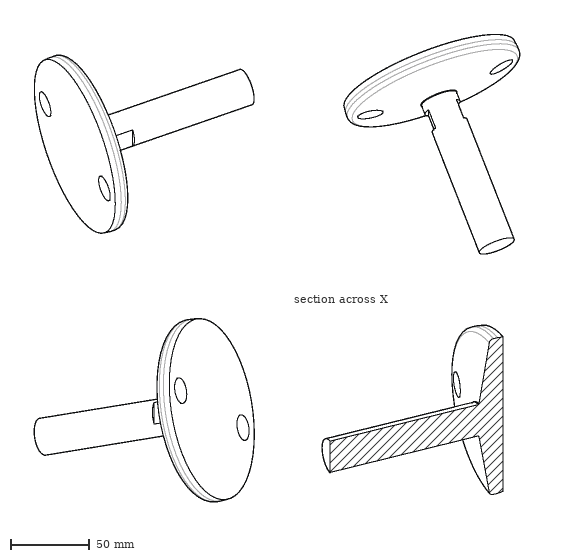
import cadquery as cq
import math

total_length = 122.0
plate_diameter = 118.0
stem_diameter = 24.0

underside_y = 0.0
pad_height = 4.0
pad_edge_inset = 0.5
rim_height = 7.0
shoulder_radius = 2.9
cone_angle = 9.4
collar_overhang = 0.4
collar_height = 0.4

flat_start = 23.8
flat_length = 12.8
across_flats = 19.2

hole_diameter = 16.5
hole_offset = 42.8
hole_tilt = cone_angle

plate_radius = plate_diameter / 2
stem_radius = stem_diameter / 2


def shoulder_point(angle):
    """Point on the rim's rounded shoulder, at an angle in degrees above radial."""
    radians = math.radians(angle)
    return (
        plate_radius - shoulder_radius + shoulder_radius * math.cos(radians),
        rim_height + shoulder_radius * math.sin(radians),
    )


shoulder_sweep = 90 - cone_angle
cone_base = shoulder_point(shoulder_sweep)
collar_radius = stem_radius + collar_overhang
cone_rise = (cone_base[0] - collar_radius) * math.tan(math.radians(cone_angle))
cone_top_height = cone_base[1] + cone_rise


def revolved_body():
    """Plate with rounded rim, cone and stem, turned about the Y axis."""
    return (
        cq.Workplane("XY")
        .moveTo(0, underside_y)
        .lineTo(plate_radius - pad_edge_inset, underside_y)
        .lineTo(plate_radius, pad_height)
        .lineTo(plate_radius, rim_height)
        .threePointArc(shoulder_point(shoulder_sweep / 2), cone_base)
        .lineTo(collar_radius, cone_top_height)
        .lineTo(stem_radius, cone_top_height + collar_height)
        .lineTo(stem_radius, total_length)
        .lineTo(0, total_length)
        .close()
        .revolve(360, (0, 0, 0), (0, 1, 0))
    )


def wrench_flat(side):
    """Material removed beyond one flat; side is -1 or +1 along X."""
    cut_depth = stem_radius - across_flats / 2
    flat_cutter = cq.Workplane("XY").box(cut_depth, flat_length, stem_diameter)
    center_x = side * (across_flats + cut_depth) / 2
    return flat_cutter.translate((center_x, flat_start + flat_length / 2, 0))


def bolt_hole(side):
    """Cylinder leaning outward as it rises from the underside."""
    tilt = math.radians(hole_tilt)
    axis = cq.Vector(side * math.sin(tilt), math.cos(tilt), 0)
    base = cq.Vector(side * hole_offset, underside_y, 0)
    start = base - axis * hole_diameter
    drill_length = hole_diameter + 2 * cone_top_height
    return cq.Solid.makeCylinder(hole_diameter / 2, drill_length, start, axis)


result = revolved_body()
for side in (-1, 1):
    result = result.cut(wrench_flat(side)).cut(bolt_hole(side))